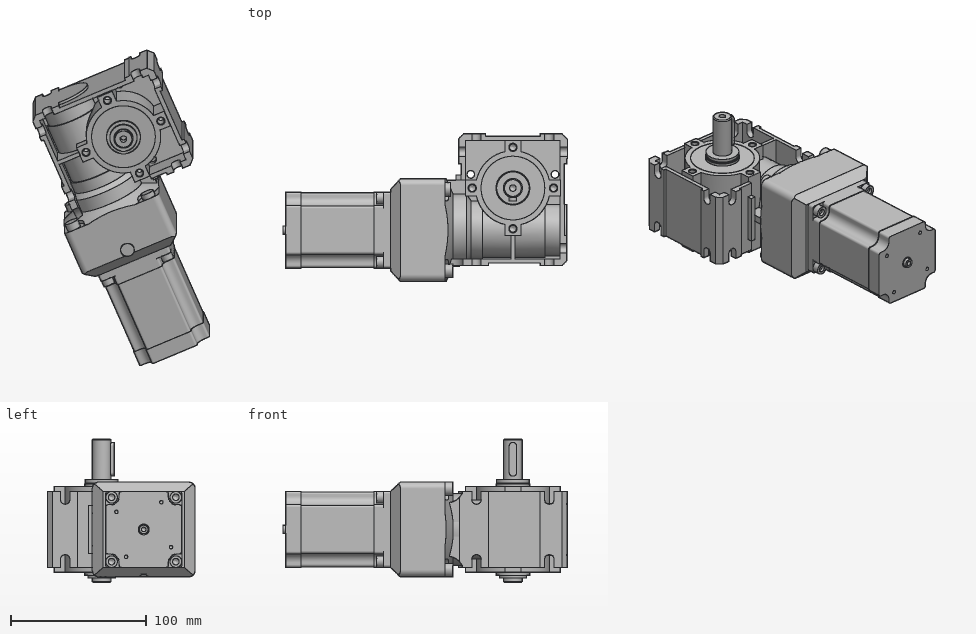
import cadquery as cq
import math

overlap = 1.0

tip_slope = 30

motor_back = 1.9
cap_end = 13.5
stack_end = 67.0
pad_start = 74.0
motor_end = 79.2
motor_half = 28.0
stack_inset = 0.5
notch_side = 18.2
notch_fillet = 6.0
lip_radius = 1.9
motor_screw_offset = 23.7
motor_screw_diameter = 8.5
motor_screw_socket = 4.8
motor_screw_head = 5.0
tip_diameter = 6.3
tip_clearance = 8.0
tip_clearance_depth = 0.8
tip_centre_hole = 3.4
back_hole_diameter = 2.5
back_hole_depth = 2.0
back_hole_reach = 20.1
back_hole_shift = 13.0

adapter_taper_end = 86.5
adapter_end = 119.5
adapter_half_y = 38.0
adapter_half_z = 35.0
adapter_face_half_y = 30.0
adapter_corner = 5.0
adapter_screw_offset = 30.0
adapter_screw_diameter = 10.0
near_screw_end = 125.0
far_screw_end = 123.5
screw_pocket_radius = 8.4
drain_diameter = 10.0
drain_x = 89.9
drain_depth = 2.0

shaft_x = 169.3
shaft_y = 31.0
box_left = shaft_x - 40.0
box_right = shaft_x + 39.8
box_back = 71.0
box_front = -26.2
box_half_z = 28.0
box_corner = 3.8
wall = 5.0
face_relief = 1.9
relief_half_x = 20.1
front_relief_start = 151.5
side_pad_length = 22.2
web_half = 2.5
rib_width = 3.0
slot_width = 7.0
slot_centre_z = 22.0
slot_offset = 26.8
front_side_slot_y = -13.2
web_hole_diameter = 5.5
web_hole_offset_x = 31.0
web_hole_offset_y = 10.0
bump_reach = 209.5
bump_start = 52.5
bump_end = 67.2

cone_radius = 39.5
neck_start = 125.3
neck_radius = 26.6
neck_end = 135.1
collar_start = 138.5
collar_radius = 21.8
collar_end = 147.0
worm_radius = 20.3
worm_end = 192.7
worm_cover_radius = 19.0
neck_web_back = 36.9
front_wall_start = 130.0
plate_front = box_front + 0.1
plate_back = box_front + wall
plate_end = 132.0
plate_scoop_radius = 11.3
plate_scoop_x = 121.5
plate_scoop_z = 31.2
key_pad_x = 127.4
key_pad_back = 40.6
key_pad_half_z = 17.8

hub_half = 31.6
hub_radius = 27.5
bearing_cover_diameter = 47.0
bearing_cover_recess = 0.2
lug_reach = 35.0
lug_width = 12.0
lug_hole_offset = 30.0
lug_hole_diameter = 5.0
lug_hole_mouth = 6.0
lug_hole_depth = 12.5
shaft_diameter = 14.0
shaft_top = 66.6
shaft_bottom = -39.0
shaft_chamfer = 0.8
shaft_hole_diameter = 4.8
shaft_hole_depth = 10.5
ring_diameter = 25.0
ring_top = 33.3
groove_diameter = 23.5
groove_top = 34.4
seal_diameter = 24.3
seal_top = 36.9
lower_ring_end = -33.7
lower_seal_diameter = 20.1
lower_seal_end = -35.8
key_width = 5.5
key_top = 64.1
key_bottom = 39.2
key_reach = 9.5


def block(x_range, y_range, z_range):
    """Box between two limits along each axis."""
    ranges = (x_range, y_range, z_range)
    sizes = [high - low for low, high in ranges]
    corner = tuple(low for low, high in ranges)
    return cq.Workplane("XY").box(*sizes, centered=False).translate(corner)


def rod_x(start, end, diameter, y=0.0, z=0.0):
    """Cylinder along X."""
    return cq.Workplane("YZ", origin=(start, y, z)).circle(diameter / 2).extrude(end - start)


def rod_z(start, end, diameter, x=shaft_x, y=shaft_y):
    """Cylinder along Z."""
    return cq.Workplane("XY", origin=(x, y, start)).circle(diameter / 2).extrude(end - start)


def drill(point, direction, diameter, depth):
    """Blind drilled hole with a pointed bottom."""
    radius = diameter / 2
    tip_height = radius * math.tan(math.radians(tip_slope))
    plane = cq.Plane(origin=point, xDir=(0, 1, 0), normal=direction)
    hole = cq.Workplane(plane).circle(radius).extrude(depth)
    axis = cq.Vector(*direction)
    cone = cq.Solid.makeCone(radius, 0, tip_height, cq.Vector(*point) + axis * depth, axis)
    return hole.union(cq.Workplane(cone))


def motor_section(start, end, inset=0.0):
    """Square motor length with a fluted recess along each corner and rounded lips."""
    length = end - start
    half = motor_half - inset
    side = notch_side - inset
    plane = cq.Workplane("YZ", origin=(start, 0, 0))
    wide = plane.rect(2 * half, 2 * side).extrude(length).edges("|X").fillet(lip_radius)
    tall = plane.rect(2 * side, 2 * half).extrude(length).edges("|X").fillet(lip_radius)
    reach = (side + half) / 2
    low = (start, -reach, -reach)
    high = (end, reach, reach)
    inner_corners = cq.selectors.BoxSelector(low, high)
    return wide.union(tall).edges("|X").edges(inner_corners).fillet(notch_fillet)


def make_motor():
    motor = motor_section(motor_back, cap_end)
    motor = motor.union(motor_section(cap_end, stack_end, stack_inset))
    motor = motor.union(motor_section(stack_end, pad_start))
    flange = block((pad_start, motor_end), (-motor_half, motor_half), (-motor_half, motor_half))
    motor = motor.union(flange.edges("|X").fillet(lip_radius))
    for y in (-motor_screw_offset, motor_screw_offset):
        for z in (-motor_screw_offset, motor_screw_offset):
            head_start = pad_start - motor_screw_head
            motor = motor.union(rod_x(head_start, motor_end, motor_screw_diameter, y, z))
            socket = drill((head_start, y, z), (1, 0, 0), motor_screw_socket, motor_screw_socket / 2)
            motor = motor.cut(socket)

    motor = motor.cut(rod_x(0, motor_back + tip_clearance_depth, tip_clearance))
    motor = motor.union(rod_x(0, cap_end, tip_diameter))
    motor = motor.cut(drill((0, 0, 0), (1, 0, 0), tip_centre_hole, tip_centre_hole))

    y, z = back_hole_reach, back_hole_shift
    for _ in range(4):
        motor = motor.cut(drill((motor_back, y, z), (1, 0, 0), back_hole_diameter, back_hole_depth))
        y, z = -z, y
    return motor


def make_adapter():
    taper = (
        cq.Workplane("YZ", origin=(motor_end, 0, 0))
        .rect(2 * adapter_face_half_y, 2 * motor_half)
        .workplane(offset=adapter_taper_end - motor_end)
        .rect(2 * adapter_half_y, 2 * adapter_half_z)
        .loft(ruled=True)
    )
    y_limits = (-adapter_half_y, adapter_half_y)
    z_limits = (-adapter_half_z, adapter_half_z)
    straight = block((adapter_taper_end, neck_start), y_limits, z_limits)
    envelope = block((motor_end, neck_start), y_limits, z_limits).edges("|X").fillet(adapter_corner)

    profile = cq.Workplane("XY").polyline(
        [(adapter_end - overlap, 0), (adapter_end - overlap, cone_radius), (adapter_end, cone_radius),
         (neck_start, neck_radius), (neck_start, 0)]
    ).close()
    cone = profile.revolve(360, (0, 0, 0), (1, 0, 0))
    body = block((adapter_taper_end, adapter_end), y_limits, z_limits).union(taper)
    screws = []
    for y, screw_end in ((-adapter_screw_offset, near_screw_end), (adapter_screw_offset, far_screw_end)):
        for z in (-adapter_screw_offset, adapter_screw_offset):
            cone = cone.cut(rod_x(adapter_end, neck_start, 2 * screw_pocket_radius, y, z))
            screws.append(rod_x(adapter_end - overlap, screw_end, adapter_screw_diameter, y, z))
    adapter = body.union(cone.intersect(straight)).intersect(envelope)
    for screw in screws:
        adapter = adapter.union(screw)
    return adapter.cut(rod_z(-adapter_half_z, -adapter_half_z + drain_depth, drain_diameter, drain_x, 0))


def wall_slot(x, y, along):
    """Pair of round-ended slots, one from each rim, through a wall; `along` is the cutting axis."""
    plane = "XZ" if along == "Y" else "YZ"
    straight = box_half_z
    offset = slot_centre_z + straight / 2
    slots = (
        cq.Workplane(plane, origin=(x, y, 0))
        .pushPoints([(0, offset), (0, -offset)])
        .slot2D(straight + slot_width, slot_width, 90)
    )
    return slots.extrude(wall + overlap, both=True)


def make_box():
    height = (-box_half_z, box_half_z)
    inner_x = (box_left + wall, box_right - wall)
    inner_y = (box_front + wall, box_back - wall)
    box = block((box_left, box_right), (box_front, box_back), height)
    box = box.edges("|Z").edges(">X or >Y").chamfer(box_corner)

    side_relief = (box_front + side_pad_length, box_back - side_pad_length)
    relief_end = shaft_x + relief_half_x
    box = box.cut(block((shaft_x - relief_half_x, relief_end), (box_back - face_relief, box_back), height))
    box = box.cut(block((front_relief_start, relief_end), (box_front, box_front + face_relief), height))
    box = box.cut(block((box_right - face_relief, box_right), side_relief, height))
    box = box.cut(block((box_left, box_left + face_relief), (box_front + wall, side_relief[1]), height))
    box = box.cut(block((box_left, front_wall_start), (box_front, plate_back), height))

    pockets = block(inner_x, inner_y, height).cut(block(inner_x, inner_y, (-web_half, web_half)))
    box = box.cut(pockets)
    mouth = block((box_left, inner_x[0]), (inner_y[0], neck_web_back), height)
    box = box.cut(mouth.cut(block((box_left, inner_x[0]), inner_y, (-web_half, web_half))))
    rib_x = (shaft_x - rib_width / 2, shaft_x + rib_width / 2)
    box = box.union(block(rib_x, (inner_y[0], shaft_y), height))

    box = box.union(rod_x(box_right - wall, box_right, 2 * worm_cover_radius))
    box = box.union(block((box_right - wall, bump_reach), (bump_start, bump_end), height))

    for x in (shaft_x - slot_offset, shaft_x + slot_offset):
        box = box.cut(wall_slot(x, box_front, "Y"))
        box = box.cut(wall_slot(x, box_back, "Y"))
    for x, y in ((box_left, shaft_y + slot_offset), (box_right, shaft_y + slot_offset),
                 (box_right, front_side_slot_y)):
        box = box.cut(wall_slot(x, y, "X"))
    return box


def make_worm_housing():
    profile = cq.Workplane("XY").polyline(
        [(adapter_end, 0), (neck_start - overlap, neck_radius), (neck_end, neck_radius),
         (collar_start, collar_radius), (collar_end, collar_radius), (collar_end, worm_radius),
         (worm_end, worm_radius), (worm_end, worm_cover_radius), (box_right - overlap, worm_cover_radius),
         (box_right - overlap, 0)]
    ).close()
    housing = profile.revolve(360, (0, 0, 0), (1, 0, 0))

    neck_web = block((adapter_end, box_left + wall), (0, neck_web_back), (-web_half, web_half))
    housing = housing.union(neck_web)
    pad_z = (-key_pad_half_z, key_pad_half_z)
    housing = housing.union(block((key_pad_x, box_left + wall), (neck_web_back, key_pad_back), pad_z))

    proud = block((front_wall_start, box_right), (-neck_radius, box_front), (-box_half_z, box_half_z))
    housing = housing.cut(proud)
    plate = block((adapter_end, plate_end), (plate_front, plate_back), (-box_half_z, box_half_z))
    return housing.union(plate)


def screw_scoops():
    """Round cuts through the front plate and wall that clear the adapter screws."""
    scoops = cq.Workplane("XZ", origin=(0, plate_back, 0))
    scoops = scoops.pushPoints([(plate_scoop_x, -plate_scoop_z), (plate_scoop_x, plate_scoop_z)])
    return scoops.circle(plate_scoop_radius).extrude(wall)


def make_hub():
    hub = rod_z(-hub_half, hub_half, 2 * hub_radius)
    for x_reach, y_reach in ((lug_reach, lug_width / 2), (lug_width / 2, lug_reach)):
        x_limits = (shaft_x - x_reach, shaft_x + x_reach)
        y_limits = (shaft_y - y_reach, shaft_y + y_reach)
        hub = hub.union(block(x_limits, y_limits, (-hub_half, hub_half)))
    return hub


def cut_hub_details(body):
    """Bearing cover recess and lug holes at both ends of the hub."""
    for side in (-1, 1):
        face = side * hub_half
        floor = face - side * bearing_cover_recess
        body = body.cut(rod_z(min(face, floor), max(face, floor), bearing_cover_diameter))
        for turn in range(4):
            x = shaft_x + lug_hole_offset * round(math.cos(turn * math.pi / 2))
            y = shaft_y + lug_hole_offset * round(math.sin(turn * math.pi / 2))
            mouth_depth = (lug_hole_mouth - lug_hole_diameter) / 2
            body = body.cut(drill((x, y, face), (0, 0, -side), lug_hole_diameter, lug_hole_depth))
            mouth = cq.Solid.makeCone(lug_hole_mouth / 2, lug_hole_diameter / 2, mouth_depth,
                                      cq.Vector(x, y, face), cq.Vector(0, 0, -side))
            body = body.cut(cq.Workplane(mouth))
    return body


def make_shaft():
    shaft = rod_z(shaft_bottom, shaft_top, shaft_diameter).faces("<Z or >Z").chamfer(shaft_chamfer)
    shaft = shaft.union(rod_z(0, ring_top, ring_diameter))
    shaft = shaft.union(rod_z(ring_top, groove_top, groove_diameter))
    shaft = shaft.union(rod_z(groove_top, seal_top, seal_diameter))
    shaft = shaft.union(rod_z(lower_ring_end, 0, ring_diameter))
    shaft = shaft.union(rod_z(lower_seal_end, lower_ring_end, lower_seal_diameter))
    key_length = key_top - key_bottom
    key = (
        cq.Workplane("XZ", origin=(shaft_x, shaft_y, (key_top + key_bottom) / 2))
        .slot2D(key_length, key_width, 90)
        .extrude(key_reach)
    )
    shaft = shaft.union(key)
    for z, direction in ((shaft_top, -1), (shaft_bottom, 1)):
        centre = (shaft_x, shaft_y, z)
        shaft = shaft.cut(drill(centre, (0, 0, direction), shaft_hole_diameter, shaft_hole_depth))
    return shaft


gearbox = make_box().union(make_worm_housing()).cut(screw_scoops()).union(make_hub())
for x in (shaft_x - web_hole_offset_x, shaft_x + web_hole_offset_x):
    gearbox = gearbox.cut(rod_z(-web_half, web_half, web_hole_diameter, x, shaft_y + web_hole_offset_y))
gearbox = cut_hub_details(gearbox)
result = make_motor().union(make_adapter()).union(gearbox).union(make_shaft())